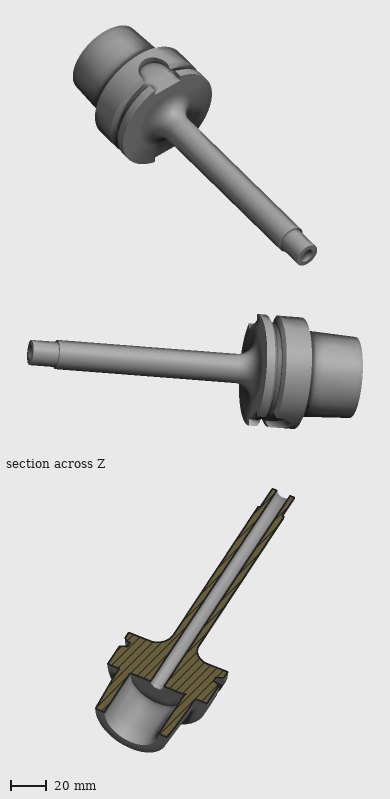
import cadquery as cq

total_length = 187.5
taper_length = 25.5
shank_length = 31.9
flange_width = 26.0
flange_end = shank_length + flange_width
tip_length = 15.0
tip_start = total_length - tip_length

shank_end_radius = 22.9
shank_radius = 24.2
flange_radius = 31.5
stem_radius = 8.2
tip_radius = 7.1
root_fillet_radius = 10.0

groove_floor_radius = 27.4
groove_floor_width = 3.2
groove_flare_width = 1.7
groove_flare_height = 2.6
groove_center = 49.9

socket_radius = 17.0
socket_depth = shank_length
through_hole_radius = 4.1

notch_width = 18.0
notch_floor_height = 26.5
notch_start = 36.8


def make_body():
    """Revolve the outer profile, including the concave root of the stem."""
    profile = (
        cq.Workplane("XY")
        .lineTo(0, shank_end_radius)
        .lineTo(taper_length, shank_radius)
        .lineTo(shank_length, shank_radius)
        .lineTo(shank_length, flange_radius)
        .lineTo(flange_end, flange_radius)
        .lineTo(flange_end, stem_radius + root_fillet_radius)
        .radiusArc((flange_end + root_fillet_radius, stem_radius), -root_fillet_radius)
        .lineTo(tip_start, stem_radius)
        .lineTo(tip_start, tip_radius)
        .lineTo(total_length, tip_radius)
        .lineTo(total_length, 0)
        .close()
    )
    return profile.revolve(360, (0, 0), (1, 0))


def make_groove():
    """Ring with a flat floor, straight lower walls and a flared mouth."""
    flare_radius = flange_radius - groove_flare_height
    half_floor = groove_floor_width / 2
    half_mouth = half_floor + groove_flare_width
    profile = cq.Workplane("XY").polyline([
        (groove_center - half_floor, groove_floor_radius),
        (groove_center + half_floor, groove_floor_radius),
        (groove_center + half_floor, flare_radius),
        (groove_center + half_mouth, flange_radius),
        (groove_center - half_mouth, flange_radius),
        (groove_center - half_floor, flare_radius),
    ]).close()
    return profile.revolve(360, (0, 0), (1, 0))


def make_notch():
    """Round-ended pocket above the notch floor, open at the stem side."""
    half_width = notch_width / 2
    arc_center = notch_start + half_width
    height = flange_radius - notch_floor_height
    return (
        cq.Workplane("XY", origin=(0, 0, notch_floor_height))
        .moveTo(flange_end, half_width)
        .lineTo(arc_center, half_width)
        .threePointArc((notch_start, 0), (arc_center, -half_width))
        .lineTo(flange_end, -half_width)
        .close()
        .extrude(height)
    )


def make_bore(radius, depth):
    """Cylinder along X from the open end of the shank."""
    return cq.Workplane("YZ").circle(radius).extrude(depth)


result = make_body().cut(make_groove())
for angle in (0, 180):
    result = result.cut(make_notch().rotate((0, 0, 0), (1, 0, 0), angle))
result = result.cut(make_bore(socket_radius, socket_depth))
result = result.cut(make_bore(through_hole_radius, total_length))